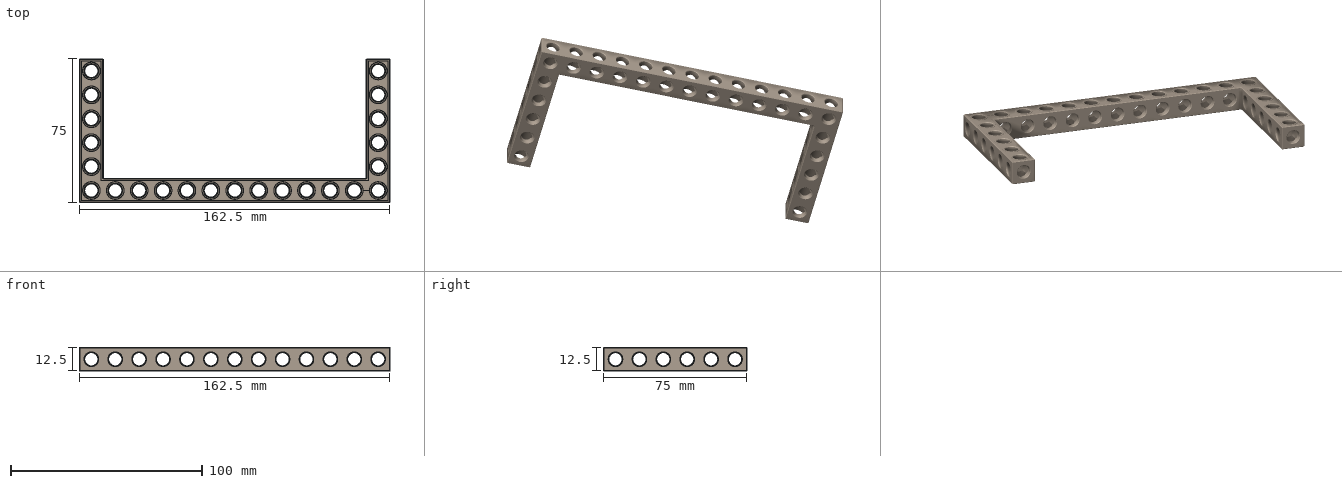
import cadquery as cq

pitch = 12.5
width_count = 13
arm_count = 6
width = width_count * pitch
depth = arm_count * pitch
height = pitch

edge_chamfer = 0.3
hole_diameter = 7.0
hole_chamfer = 0.3
recess_depth = 0.2
lip_width = 1.1
ring_diameter = 9.2
rib_width = 0.1

left = -width / 2
right = width / 2
front = -depth / 2
back = depth / 2
mid_height = height / 2
recess_floor = height - recess_depth


def centred_row(count):
    """Positions of count holes, one pitch apart and symmetric about zero."""
    return [(i - (count - 1) / 2) * pitch for i in range(count)]


columns = centred_row(width_count)
rows = centred_row(arm_count)
arm_columns = (columns[0], columns[-1])
front_row = rows[0]
hole_grid = [(x, front_row) for x in columns]
hole_grid += [(x, y) for x in arm_columns for y in rows[1:]]


def u_prism(inset, base, thickness):
    """U-shaped prism, open toward +Y, with its outline moved inward by inset."""
    x_out = right - inset
    x_in = right - pitch + inset
    y_front = front + inset
    y_inner = front + pitch - inset
    y_back = back - inset
    outline = [
        (-x_out, y_front),
        (x_out, y_front),
        (x_out, y_back),
        (x_in, y_back),
        (x_in, y_inner),
        (-x_in, y_inner),
        (-x_in, y_back),
        (-x_out, y_back),
    ]
    return cq.Workplane("XY", origin=(0, 0, base)).polyline(outline).close().extrude(thickness)


def top_recess():
    """Shallow top recess that spares an edge lip, a ring round each hole and one thin rib."""
    pocket = u_prism(lip_width, recess_floor, recess_depth)
    floor = cq.Workplane("XY", origin=(0, 0, recess_floor))
    rings = floor.pushPoints(hole_grid).circle(ring_diameter / 2).extrude(recess_depth)
    rib_centre = ((columns[-2] + columns[-1]) / 2, front_row)
    rib = floor.pushPoints([rib_centre]).rect(pitch, rib_width).extrude(recess_depth)
    return pocket.cut(rings).cut(rib)


def chamfered_hole(start, end):
    """Cutter for a through hole from point start to point end, with both mouths chamfered."""
    start = cq.Vector(*start)
    end = cq.Vector(*end)
    axis = end - start
    radius = hole_diameter / 2
    mouth_radius = radius + hole_chamfer
    bore = cq.Solid.makeCylinder(radius, axis.Length, start, axis)
    near_mouth = cq.Solid.makeCone(mouth_radius, radius, hole_chamfer, start, axis)
    far_mouth = cq.Solid.makeCone(mouth_radius, radius, hole_chamfer, end, -axis)
    return bore.fuse(near_mouth, far_mouth)


def vertical_holes():
    return [chamfered_hole((x, y, 0), (x, y, height)) for x, y in hole_grid]


def front_to_back_holes():
    """Holes along Y; the outermost two run the full length of the arms."""
    cutters = []
    for x in columns:
        exit_y = back if x in arm_columns else front + pitch
        cutters.append(chamfered_hole((x, front, mid_height), (x, exit_y, mid_height)))
    return cutters


def side_to_side_holes():
    """Holes along X; the front one runs the full width, the others cross each arm."""
    cutters = [chamfered_hole((left, front_row, mid_height), (right, front_row, mid_height))]
    for y in rows[1:]:
        for arm_left in (left, right - pitch):
            cutters.append(chamfered_hole((arm_left, y, mid_height), (arm_left + pitch, y, mid_height)))
    return cutters


result = u_prism(0, 0, height).edges().chamfer(edge_chamfer)
result = result.cut(top_recess())
for cutter in vertical_holes() + front_to_back_holes() + side_to_side_holes():
    result = result.cut(cq.Workplane(cutter))